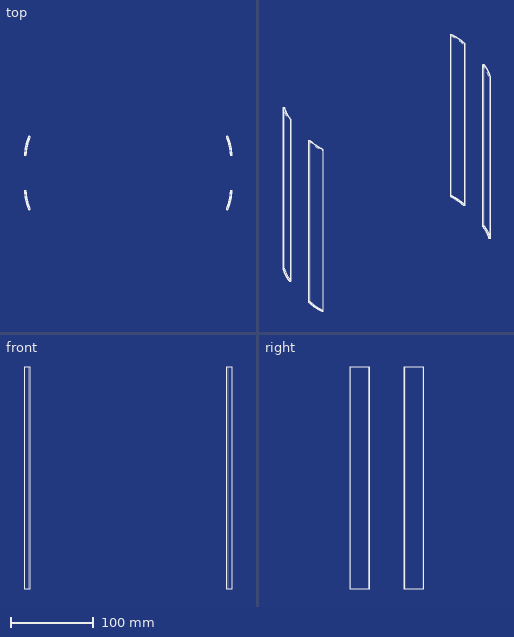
import cadquery as cq
import math

overall_width = 250.2
overall_depth = 88.8
strip_height = 268.2

thickness = 2.0
bend_radius = 64.5
bend_axis_y = 18.8
inner_end_y = 21.0

end_radius = thickness / 2
outer_radius = bend_radius + end_radius
inner_radius = bend_radius - end_radius
inner_cap_y = inner_end_y + end_radius
outer_cap_y = overall_depth / 2 - end_radius
start_angle = math.asin((inner_cap_y - bend_axis_y) / bend_radius)
end_angle = math.asin((outer_cap_y - bend_axis_y) / bend_radius)
middle_angle = (start_angle + end_angle) / 2
bend_axis_x = overall_width / 2 - end_radius - bend_radius * math.cos(start_angle)


def bend_point(radius, angle, along=0.0):
    """Point at a radius and angle about the bend axis, shifted along the tangent."""
    x = bend_axis_x + radius * math.cos(angle) - along * math.sin(angle)
    y = bend_axis_y + radius * math.sin(angle) + along * math.cos(angle)
    return (x, y)


def make_strip():
    """Curved strip in the +X, +Y quadrant, with full-round long edges."""
    return (
        cq.Workplane("XY")
        .workplane(offset=-strip_height / 2)
        .moveTo(*bend_point(outer_radius, start_angle))
        .threePointArc(bend_point(outer_radius, middle_angle), bend_point(outer_radius, end_angle))
        .threePointArc(bend_point(bend_radius, end_angle, end_radius), bend_point(inner_radius, end_angle))
        .threePointArc(bend_point(inner_radius, middle_angle), bend_point(inner_radius, start_angle))
        .threePointArc(bend_point(bend_radius, start_angle, -end_radius), bend_point(outer_radius, start_angle))
        .close()
        .extrude(strip_height)
    )


strips = []
right_back_strip = make_strip()
right_front_strip = right_back_strip.mirror("XZ")
for right_strip in (right_back_strip, right_front_strip):
    strips.append(right_strip.val())
    strips.append(right_strip.mirror("YZ").val())

result = cq.Compound.makeCompound(strips)